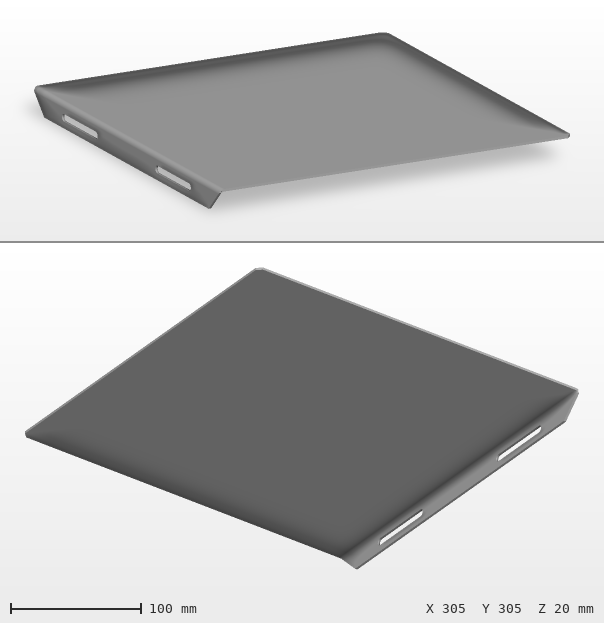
import cadquery as cq

side = 305.0
height = 20.0
thickness = 2.0
inner_bend_radius = 2.0
bend_relief = 1.0
taper_start = 3.0
rear_corner_chamfer = 4.0
slot_length = 58.0
slot_width = 6.0
slot_spacing = 152.5
slot_depth = 11.5

half = side / 2
outer_bend_radius = inner_bend_radius + thickness


def bent_sheet():
    """Flat plate with a flange folded down along its front edge; top face at Z = 0."""
    section = (
        cq.Workplane("YZ")
        .moveTo(half, 0)
        .lineTo(-half, 0)
        .lineTo(-half, -height)
        .lineTo(-half + thickness, -height)
        .lineTo(-half + thickness, -thickness)
        .lineTo(half, -thickness)
        .close()
        .extrude(half, both=True)
    )
    outer_edge = cq.selectors.NearestToPointSelector((0, -half, 0))
    inner_edge = cq.selectors.NearestToPointSelector((0, -half + thickness, -thickness))
    section = section.edges(outer_edge).fillet(outer_bend_radius)
    return section.edges(inner_edge).fillet(inner_bend_radius)


def end_trim():
    """Waste at the +X end: sets the flange back, then narrows it at 45 degrees."""
    trimmed_half = half - bend_relief
    taper_drop = height - taper_start
    end_profile = (
        cq.Workplane("XZ")
        .polyline([
            (half, 0),
            (trimmed_half, 0),
            (trimmed_half, -taper_start),
            (trimmed_half - taper_drop, -height),
            (half, -height),
        ])
        .close()
        .extrude(half)
    )
    bend_axis_y = -half + outer_bend_radius
    beyond_mid_bend = (
        cq.Workplane("YZ")
        .polyline([
            (bend_axis_y, -outer_bend_radius),
            (-half, 0),
            (-half, -height),
            (bend_axis_y, -height),
        ])
        .close()
        .extrude(half)
    )
    return end_profile.intersect(beyond_mid_bend)


def slots():
    """Two round-ended cutters reaching through the flange."""
    return (
        cq.Workplane("XZ", origin=(0, 0, -slot_depth))
        .rarray(slot_spacing, 3, 2, 1)
        .slot2D(slot_length, slot_width)
        .extrude(side)
    )


plate = bent_sheet().edges("|Z and >Y").chamfer(rear_corner_chamfer)
right_trim = end_trim()
left_trim = right_trim.mirror("YZ")
result = plate.cut(right_trim).cut(left_trim).cut(slots())